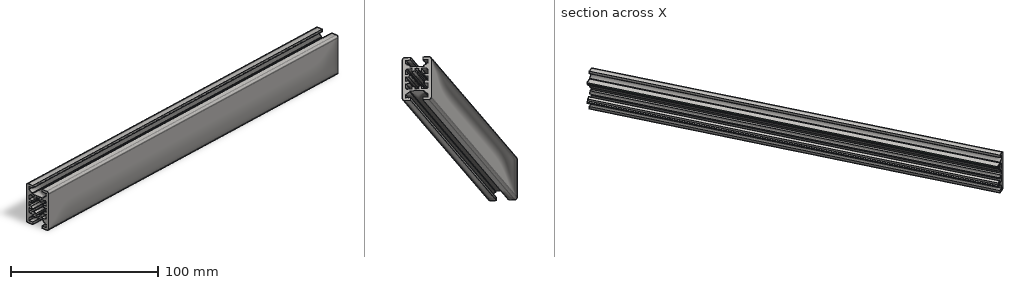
import cadquery as cq

length = 300.0
width = 20.0
height = 30.0
corner_radius = 1.65

slot_opening = 8.5
lip_thickness = 1.95
wall_thickness = 2.5
slot_floor_z = 8.5
slot_floor_width = 9.5
slot_step_height = 0.5
slot_slope_height = 1.95

web_thickness = 1.35
cavity_chamfer = 1.0

rib_outer = 3.3
rib_inner = 1.35
screw_bore_radius = 5.7

half_width = width / 2
half_height = height / 2
inner_x = half_width - wall_thickness
cavity_top_z = slot_floor_z - web_thickness


def extrude_outline(points):
    """Extrude a closed X-Z outline over the rail length, centred on Y."""
    return cq.Workplane("XZ").polyline(points).close().extrude(length / 2, both=True)


def make_t_slot(side):
    """T-slot with a narrow mouth and a sunken floor between sloped shoulders; side is +1 top, -1 bottom."""
    mouth = slot_opening / 2
    lip_z = half_height - lip_thickness
    floor_x = slot_floor_width / 2
    step_z = slot_floor_z + slot_step_height
    right = [
        (floor_x, slot_floor_z),
        (floor_x, step_z),
        (inner_x, step_z + slot_slope_height),
        (inner_x, lip_z),
        (mouth, lip_z),
        (mouth, half_height),
    ]
    left = [(-x, z) for x, z in reversed(right)]
    return extrude_outline([(x, side * z) for x, z in right + left])


def make_cavity():
    """Rectangular cavity with chamfered long corners."""
    cavity = cq.Workplane("XY").box(2 * inner_x, length, 2 * cavity_top_z)
    return cavity.edges("|Y").chamfer(cavity_chamfer)


def make_ribs():
    """Pairs of ribs on the webs and walls, with tips trimmed by the screw bore."""
    rib_centre = (rib_outer + rib_inner) / 2
    rib_thickness = rib_outer - rib_inner
    vertical = cq.Workplane("XY").box(rib_thickness, length, 2 * cavity_top_z)
    horizontal = cq.Workplane("XY").box(2 * inner_x, length, rib_thickness)
    ribs = cq.Workplane("XY")
    for side in (1, -1):
        ribs = ribs.add(vertical.translate((side * rib_centre, 0, 0)))
        ribs = ribs.add(horizontal.translate((0, 0, side * rib_centre)))
    bore = cq.Workplane("XZ").circle(screw_bore_radius).extrude(length / 2, both=True)
    return ribs.combine().cut(bore)


body = cq.Workplane("XY").box(width, length, height)
body = body.edges("|Y").fillet(corner_radius)
body = body.cut(make_cavity())
for side in (1, -1):
    body = body.cut(make_t_slot(side))

result = body.union(make_ribs())